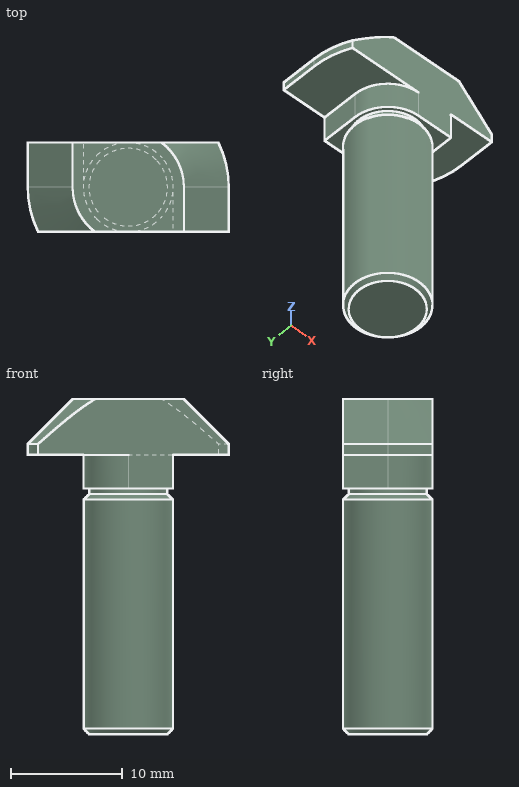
import cadquery as cq

total_height = 30.0
head_length = 18.0
shank_diameter = 8.0
groove_diameter = 7.0
head_height = 5.0
head_rim_height = 1.0
neck_height = 3.0
groove_height = 1.0
end_chamfer = (shank_diameter - groove_diameter) / 2

half_length = head_length / 2
shank_radius = shank_diameter / 2
groove_radius = groove_diameter / 2
head_bottom = total_height - head_height
neck_bottom = head_bottom - neck_height
shank_top = neck_bottom - groove_height
top_half_length = half_length - (head_height - head_rim_height)


def half_profile():
    """Half outline of head and neck, in the XZ plane against the Z axis."""
    return (
        cq.Workplane("XZ")
        .moveTo(0, neck_bottom)
        .lineTo(shank_radius, neck_bottom)
        .lineTo(shank_radius, head_bottom)
        .lineTo(half_length, head_bottom)
        .lineTo(half_length, head_bottom + head_rim_height)
        .lineTo(top_half_length, total_height)
        .lineTo(0, total_height)
        .close()
    )


def square_quarter():
    """Flat-sided quarter of head and neck, at +X -Y."""
    return half_profile().extrude(shank_radius)


def round_quarter():
    """Turned quarter of head and neck, at +X +Y, cut to the head width."""
    quarter_block = cq.Workplane("XY").box(
        half_length, shank_radius, total_height, centered=False
    )
    return half_profile().revolve(360, (0, 0), (0, 1)).intersect(quarter_block)


def shank():
    """Round shank with an end chamfer and a relief groove under the neck."""
    return (
        cq.Workplane("XZ")
        .lineTo(shank_radius - end_chamfer, 0)
        .lineTo(shank_radius, end_chamfer)
        .lineTo(shank_radius, shank_top)
        .lineTo(groove_radius, shank_top + groove_height / 2)
        .lineTo(groove_radius, neck_bottom)
        .lineTo(0, neck_bottom)
        .close()
        .revolve(360, (0, 0), (0, 1))
    )


result = shank()
for turn in (0, 180):
    for quarter in (square_quarter(), round_quarter()):
        result = result.union(quarter.rotate((0, 0, 0), (0, 0, 1), turn))
result = result.clean()